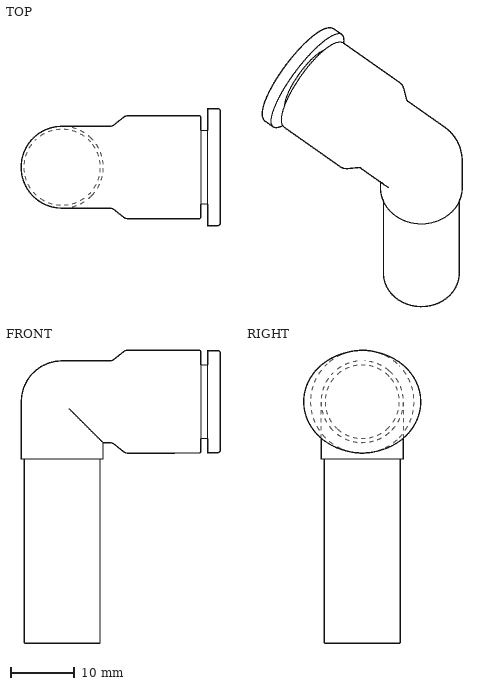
import cadquery as cq


elbow_radius = 6.5
elbow_drop = 9.07

socket_radius = 8.15
flare_start = 7.9
flare_end = 10.0
flare_blend = 1.0
socket_end = 21.9
socket_edge = 0.3

neck_radius = 5.85
ring_start = 22.95
ring_width = 18.5
ring_height = 16.15
ring_edge = 0.45
overall_length = 31.5
ring_end = overall_length - elbow_radius

overall_height = 46.3
stem_radius = 6.0
stem_edge = 0.25
stem_bottom = socket_radius - overall_height


def make_elbow():
    """Ball corner with the short vertical leg below it."""
    ball = cq.Workplane("XY").sphere(elbow_radius)
    vertical_leg = cq.Workplane("XY").circle(elbow_radius).extrude(-elbow_drop)
    return ball.union(vertical_leg)


def make_socket():
    """Horizontal leg, flare and socket barrel, turned about X with a rounded rim."""
    turned = (
        cq.Workplane("XZ")
        .lineTo(0, elbow_radius)
        .lineTo(flare_start, elbow_radius)
        .lineTo(flare_end, socket_radius)
        .lineTo(socket_end, socket_radius)
        .lineTo(socket_end, 0)
        .close()
        .revolve(360, (0, 0, 0), (1, 0, 0))
    )
    blended = turned.edges("%CIRCLE and (not <X) and (not >X)").fillet(flare_blend)
    return blended.faces(">X").edges().fillet(socket_edge)


def make_release_ring():
    """Oval push ring standing off the socket on a round neck."""
    neck = (
        cq.Workplane("YZ")
        .workplane(offset=socket_end)
        .circle(neck_radius)
        .extrude(ring_start - socket_end)
    )
    ring = (
        cq.Workplane("YZ")
        .workplane(offset=ring_start)
        .ellipse(ring_width / 2, ring_height / 2)
        .extrude(ring_end - ring_start)
        .faces(">X")
        .edges()
        .fillet(ring_edge)
    )
    return neck.union(ring)


def make_stem():
    """Plain solid stub with a rounded lower rim."""
    return (
        cq.Workplane("XY")
        .workplane(offset=-elbow_drop)
        .circle(stem_radius)
        .extrude(stem_bottom + elbow_drop)
        .faces("<Z")
        .edges()
        .fillet(stem_edge)
    )


result = make_elbow().union(make_socket()).union(make_release_ring()).union(make_stem())